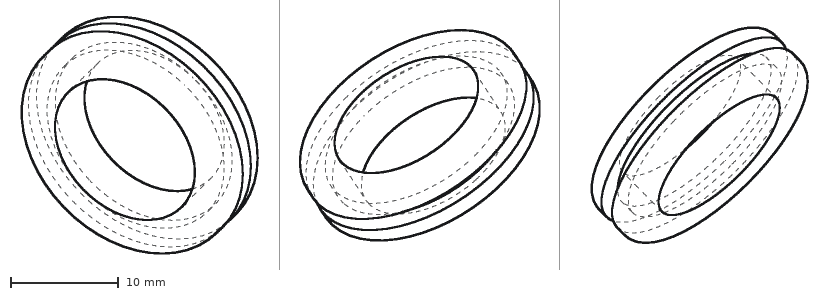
import cadquery as cq

outer_diameter = 23.0
groove_diameter = 19.0
bore_diameter = 15.0
thickness = 5.5
groove_width = 1.5
rim_radius = 1.0


def disc(diameter, width):
    """Solid disc around the Y axis, centred on the origin."""
    start = cq.Workplane("XZ", origin=(0, width / 2, 0))
    return start.circle(diameter / 2).extrude(width)


body = disc(outer_diameter, thickness).faces("<Y or >Y").edges().fillet(rim_radius)

groove = disc(outer_diameter, groove_width).cut(disc(groove_diameter, groove_width))

bore = disc(bore_diameter, thickness)

result = body.cut(groove).cut(bore)